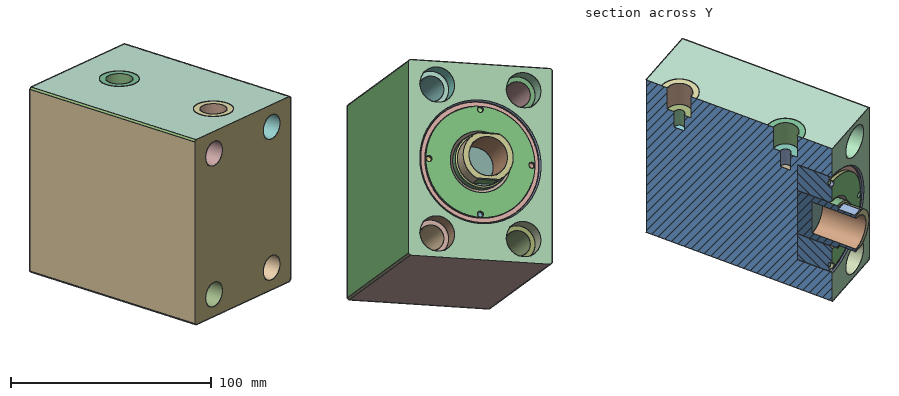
import cadquery as cq


length = 107.0
width = 75.0
height = 100.0
edge_chamfer = 1.0

screw_spacing_y = 45.0
screw_spacing_z = 76.0
screw_hole_diameter = 13.0
counterbore_diameter = 18.0
counterbore_depth = 10.2

first_port_x = 27.0
port_spacing = 61.0
spotface_diameter = 20.0
spotface_depth = 0.1
port_diameter = 13.5
port_depth = 14.0
oil_hole_diameter = 5.5
oil_hole_depth = 24.1

gland_diameter = 61.7
gland_depth = 20.0
bore_chamfer = 0.7
rim_diameter = 56.8
rim_step = 1.8
spanner_circle_diameter = 53.5
spanner_hole_diameter = 3.0
spanner_hole_depth = 1.8
spanner_cone_depth = spanner_hole_diameter / 4
wiper_chamfer = 1.7

rod_diameter = 28.0
rod_overhang = 13.5
collar_overhang = 3.5
collar_chamfer_length = 0.5
tip_diameter = 26.0
across_flats = 24.0
flat_bevel = 0.5
rod_bore_diameter = 20.0
rod_bore_depth = 25.0


def cylinder(diameter, start_x, end_x):
    """Solid cylinder on the X axis from start_x to end_x."""
    return cq.Workplane("YZ", origin=(start_x, 0, 0)).circle(diameter / 2).extrude(end_x - start_x)


def revolved(outline):
    """Solid of revolution about the X axis from a closed outline of (x, radius) points."""
    return cq.Workplane("XY").polyline(outline).close().revolve(360, (0, 0, 0), (1, 0, 0))


def flared_hole(diameter, depth, chamfer):
    """Cutter for a hole in the front face, with a 45 degree chamfer at its mouth."""
    radius = diameter / 2
    outline = [(0, 0), (0, radius + chamfer), (chamfer, radius), (depth, radius), (depth, 0)]
    return revolved(outline)


def port_hole(diameter, depth, x):
    """Cutter for a flat-bottomed hole going down from the top face."""
    top = cq.Workplane("XY", origin=(x, 0, height / 2))
    return top.circle(diameter / 2).extrude(-depth)


def make_housing():
    block = cq.Workplane("XY").box(length, width, height, centered=(False, True, True))
    block = block.edges("|X").chamfer(edge_chamfer)

    screw_holes = (
        cq.Workplane("YZ")
        .rect(screw_spacing_y, screw_spacing_z, forConstruction=True)
        .vertices()
    )
    block = block.cut(screw_holes.circle(screw_hole_diameter / 2).extrude(length))
    block = block.cut(screw_holes.circle(counterbore_diameter / 2).extrude(counterbore_depth))

    for x in (first_port_x, first_port_x + port_spacing):
        block = block.cut(port_hole(spotface_diameter, spotface_depth, x))
        block = block.cut(port_hole(port_diameter, port_depth, x))
        block = block.cut(port_hole(oil_hole_diameter, oil_hole_depth, x))

    return block.cut(flared_hole(gland_diameter, gland_depth, bore_chamfer))


def spanner_hole():
    """Cutter for a pin spanner hole with a conical bottom, just inside the top of the raised rim."""
    radius = spanner_hole_diameter / 2
    axis_z = spanner_circle_diameter / 2
    outline = [
        (0, 0),
        (0, radius),
        (spanner_hole_depth, radius),
        (spanner_hole_depth + spanner_cone_depth, 0),
    ]
    return revolved(outline).translate((0, 0, axis_z))


def make_gland():
    gland = cylinder(gland_diameter, rim_step, gland_depth)
    gland = gland.union(cylinder(rim_diameter, 0, rim_step))
    gland = gland.cut(flared_hole(rod_diameter, gland_depth, wiper_chamfer))
    for angle in range(0, 360, 90):
        gland = gland.cut(spanner_hole().rotate((0, 0, 0), (1, 0, 0), angle))
    return gland


def make_rod():
    outline = [
        (-collar_overhang, 0),
        (-collar_overhang, tip_diameter / 2),
        (-collar_overhang + collar_chamfer_length, rod_diameter / 2),
        (gland_depth, rod_diameter / 2),
        (gland_depth, 0),
    ]
    body = revolved(outline)

    tip_length = rod_overhang - collar_overhang
    tip = cylinder(tip_diameter, -rod_overhang, -collar_overhang)
    flats = (
        cq.Workplane("XY")
        .box(tip_length, tip_diameter, across_flats, centered=(False, True, True))
        .edges("<X and |Y")
        .chamfer(flat_bevel)
        .translate((-rod_overhang, 0, 0))
    )
    tip = tip.intersect(flats)

    bore = cylinder(rod_bore_diameter, -rod_overhang, rod_bore_depth - rod_overhang)
    return body.union(tip).cut(bore)


housing = make_housing()
gland = make_gland()
rod = make_rod()

result = cq.Compound.makeCompound([housing.val(), gland.val(), rod.val()])